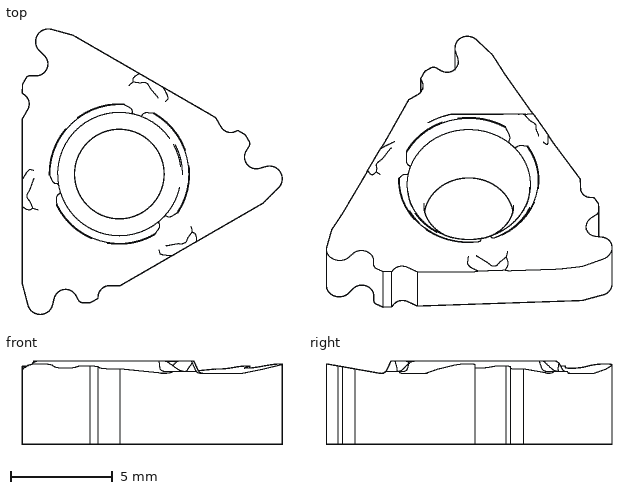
import cadquery as cq
import math

CORNERS = 3
CORNER_STEP = 360 / CORNERS

LEFT_WALL = 180.0
LOWER_SIDE = 270.0

overall_length = 14.04
top_height = 4.1
floor_height = 3.5
wall_distance = 4.77
reach = 8.42

relief_start = (-wall_distance, -5.39)
tip_radius = 0.63
tip_x = -3.89
tip_y = -(overall_length - 2 * tip_radius + tip_x * math.sin(math.radians(60))) / 1.5
tip_center = (tip_x, tip_y)
gullet_center = (-2.64, -6.25)
gullet_radius = 0.58
tooth_center = (-1.78, -6.07)
tooth_radius = 0.27
crest_y = tooth_center[1] - tooth_radius
crest_end_x = -1.43
flank_end = (-1.05, -6.12)
root_center = (-0.49, -6.04)
root_radius = 0.55

ramp_start = 4.25
ramp_back = 2.39
ramp_angle = 10.0
ramp_blend = 0.04

island_radius = 4.02
island_flat_distance = 3.92
island_flat_angle = 238.0
island_slope = 25.0
foot_radius = 0.27
height_tolerance = 0.01
corner_radius = 0.35
rim_round = 0.04

ledge_height = 3.58
bevel_foot_distance = 4.45

groove_angle = 193.5
groove_half_width = 0.76
groove_flank_width = 0.52
groove_flank_height = 0.44
groove_floor_half_width = 0.03
groove_root_height = 3.6

hole_radius = 4.4 / 2
recess_top_radius = 3.43
recess_corner = (3.3, 3.82)
land_edge = (3.1, 3.68)
wall_top = (3.03, 3.61)
wall_bottom = (2.99, 3.23)
seat_top = (2.85, 2.88)
throat_height = 1.33


def direction(angle):
    return (math.cos(math.radians(angle)), math.sin(math.radians(angle)))


def polar(radius, angle):
    x, y = direction(angle)
    return (radius * x, radius * y)


def rotated(point, angle):
    c, s = direction(angle)
    return (point[0] * c - point[1] * s, point[0] * s + point[1] * c)


def around_axis(solid):
    """Union of the solid with its copies at the other corners."""
    pattern = solid
    for i in range(1, CORNERS):
        pattern = pattern.union(solid.rotate((0, 0, 0), (0, 0, 1), i * CORNER_STEP))
    return pattern


def tangent_points(center_a, radius_a, center_b, radius_b):
    """Ends of the line leaving circle a and joining circle b; radii are negative for clockwise travel."""
    dx = center_b[0] - center_a[0]
    dy = center_b[1] - center_a[1]
    normal = math.atan2(dy, dx) - math.acos((radius_a - radius_b) / math.hypot(dx, dy))
    nx, ny = math.cos(normal), math.sin(normal)
    end_a = (center_a[0] + radius_a * nx, center_a[1] + radius_a * ny)
    end_b = (center_b[0] + radius_b * nx, center_b[1] + radius_b * ny)
    return end_a, end_b


def arc_middle(center, radius, start, end):
    """Middle of the shorter arc from start to end."""
    dx = (start[0] + end[0]) / 2 - center[0]
    dy = (start[1] + end[1]) / 2 - center[1]
    scale = radius / math.hypot(dx, dy)
    return (center[0] + dx * scale, center[1] + dy * scale)


def line_crossing(distance_a, angle_a, distance_b, angle_b):
    """Crossing of two lines given by distance from the axis and direction of the normal."""
    ax, ay = direction(angle_a)
    bx, by = direction(angle_b)
    det = ax * by - ay * bx
    return ((distance_a * by - distance_b * ay) / det, (distance_b * ax - distance_a * bx) / det)


def make_blank():
    """Full-height prism of the insert outline."""
    _, tip_in = tangent_points(relief_start, 0, tip_center, tip_radius)
    tip_out, gullet_in = tangent_points(tip_center, tip_radius, gullet_center, -gullet_radius)
    gullet_out, tooth_in = tangent_points(gullet_center, -gullet_radius, tooth_center, tooth_radius)
    tooth_out = (tooth_center[0], crest_y)
    root_in = (root_center[0] - root_radius, root_center[1])
    root_out = (root_center[0], root_center[1] + root_radius)
    shoulder = line_crossing(-root_out[1], LOWER_SIDE, wall_distance, LEFT_WALL + CORNER_STEP)

    outline = cq.Workplane("XY").moveTo(*relief_start)
    for i in range(CORNERS):
        turn = i * CORNER_STEP

        def line(point):
            return outline.lineTo(*rotated(point, turn))

        def arc(center, radius, start, end):
            middle = arc_middle(center, radius, start, end)
            return outline.threePointArc(rotated(middle, turn), rotated(end, turn))

        if i > 0:
            outline = line(relief_start)
        outline = line(tip_in)
        outline = arc(tip_center, tip_radius, tip_in, tip_out)
        outline = line(gullet_in)
        outline = arc(gullet_center, gullet_radius, gullet_in, gullet_out)
        outline = line(tooth_in)
        outline = arc(tooth_center, tooth_radius, tooth_in, tooth_out)
        outline = line((crest_end_x, crest_y))
        outline = line(flank_end)
        outline = line(root_in)
        outline = arc(root_center, root_radius, root_in, root_out)
        outline = line(shoulder)
    return outline.close().extrude(top_height)


def make_ramp():
    """Wedge under the rake ramp of the lower corner."""
    slope = math.tan(math.radians(ramp_angle))
    blend_end = ramp_start + ramp_blend * math.cos(math.radians(ramp_angle))
    return (
        cq.Workplane("YZ", origin=(-reach, 0, 0))
        .moveTo(-ramp_back, 0)
        .lineTo(-ramp_back, floor_height)
        .lineTo(-(ramp_start - ramp_blend), floor_height)
        .tangentArcPoint((-blend_end, floor_height + (blend_end - ramp_start) * slope), relative=False)
        .lineTo(-reach, floor_height + (reach - ramp_start) * slope)
        .lineTo(-reach, 0)
        .close()
        .extrude(2 * reach)
    )


def flat_end_angle(inset):
    """Direction in which the lower flat of the island meets the arc."""
    half_width = math.acos((island_flat_distance - inset) / (island_radius - inset))
    return island_flat_angle + math.degrees(half_width)


def island_outline(plane, inset):
    """At each corner: an arc about the axis, a straight side tangent to it, and a flat."""
    radius = island_radius - inset
    flat_distance = island_flat_distance - inset
    arc_start = flat_end_angle(inset)
    arc_end = LOWER_SIDE
    outline = plane.moveTo(*polar(radius, arc_start))
    for i in range(CORNERS):
        turn = i * CORNER_STEP
        if i > 0:
            outline = outline.lineTo(*polar(radius, arc_start + turn))
        outline = outline.threePointArc(
            polar(radius, (arc_start + arc_end) / 2 + turn), polar(radius, arc_end + turn)
        )
        next_flat = island_flat_angle + CORNER_STEP
        outline = outline.lineTo(
            *line_crossing(radius, arc_end + turn, flat_distance, next_flat + turn)
        )
    return outline.close()


def make_bevel():
    """Cutter that ends the island along the left wall, with a rounded foot."""
    run = (top_height - ledge_height) * math.tan(math.radians(island_slope))
    foot = (-bevel_foot_distance, 0, ledge_height)
    return (
        cq.Workplane("XZ", origin=(0, reach, 0))
        .moveTo(-bevel_foot_distance, ledge_height)
        .lineTo(-bevel_foot_distance + run, top_height)
        .lineTo(-reach, top_height)
        .lineTo(-reach, ledge_height)
        .close()
        .extrude(2 * reach)
        .edges(cq.selectors.NearestToPointSelector(foot))
        .fillet(foot_radius)
    )


def make_island():
    """Raised island with sloped sides, blended into the floor."""
    island_height = top_height - floor_height
    inset = island_height * math.tan(math.radians(island_slope))
    outline = island_outline(cq.Workplane("XY", origin=(0, 0, floor_height)), 0)
    island = island_outline(outline.workplane(offset=island_height), inset).loft(ruled=True)
    corner_height = (floor_height + top_height) / 2
    for i in range(CORNERS):
        corner = polar(island_radius - inset / 2, flat_end_angle(0) + i * CORNER_STEP)
        corner_edge = cq.selectors.NearestToPointSelector((*corner, corner_height))
        island = island.edges(corner_edge).fillet(corner_radius)
    floor = cq.Workplane("XY").rect(2 * reach, 2 * reach).extrude(floor_height)
    span = overall_length / 2
    foot_edges = cq.selectors.BoxSelector(
        (-span, -span, floor_height - height_tolerance), (span, span, floor_height + height_tolerance)
    )
    island = floor.union(island).edges(foot_edges).fillet(foot_radius)
    return island.cut(around_axis(make_bevel()))


def make_hole():
    """Screw hole: recess, rounded land, wall and curved seat narrowing to the bore."""
    seat_run = seat_top[0] - hole_radius
    seat_drop = seat_top[1] - throat_height
    curve_radius = (seat_run**2 + seat_drop**2) / (2 * seat_run)
    curve_center = (hole_radius + curve_radius, throat_height)
    throat = (hole_radius, throat_height)
    return (
        cq.Workplane("XZ")
        .moveTo(0, 0)
        .lineTo(hole_radius, 0)
        .lineTo(*throat)
        .threePointArc(arc_middle(curve_center, curve_radius, throat, seat_top), seat_top)
        .tangentArcPoint(wall_bottom, relative=False)
        .lineTo(*wall_top)
        .tangentArcPoint(land_edge, relative=False)
        .tangentArcPoint(recess_corner, relative=False)
        .lineTo(recess_top_radius, top_height)
        .lineTo(0, top_height)
        .close()
        .revolve(360, (0, 0, 0), (0, 1, 0))
    )


def make_groove():
    """V groove with rounded root corners, running outward from the hole."""
    root_half_width = groove_half_width - groove_flank_width
    flank_foot = top_height - groove_flank_height
    groove = (
        cq.Workplane("YZ")
        .moveTo(-groove_half_width, top_height)
        .lineTo(-root_half_width, flank_foot)
        .tangentArcPoint((-groove_floor_half_width, groove_root_height), relative=False)
        .lineTo(groove_floor_half_width, groove_root_height)
        .tangentArcPoint((root_half_width, flank_foot), relative=False)
        .lineTo(groove_half_width, top_height)
        .close()
        .extrude(wall_distance + groove_half_width)
    )
    return groove.rotate((0, 0, 0), (0, 0, 1), groove_angle)


top_shape = make_island().union(around_axis(make_ramp()))
result = make_blank().intersect(top_shape).cut(make_hole())
result = result.cut(around_axis(make_groove()))
result = result.faces(">Z").edges().fillet(rim_round)